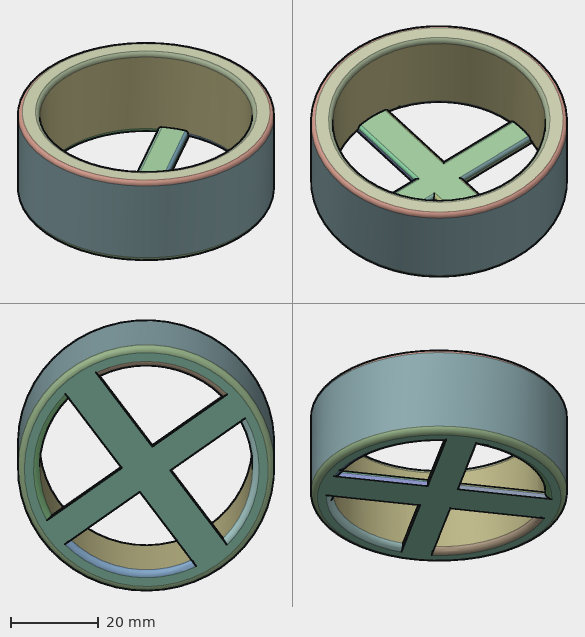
import cadquery as cq

outer_diameter = 58.5
inner_diameter = 48.5
height = 22.0
rim_fillet = 1.0
base_fillet = 1.45

x_bar_width = 8.65
y_bar_width = 7.0
bar_thickness = 2.0
bar_fillet = 0.75

outer_radius = outer_diameter / 2
inner_radius = inner_diameter / 2
wall = outer_radius - inner_radius
bar_length = inner_diameter + wall


def make_ring():
    """Plain ring about Z with all four rims rounded."""
    ring = cq.Workplane("XY").circle(outer_radius).circle(inner_radius).extrude(height)
    ring = ring.faces(">Z").edges().fillet(rim_fillet)
    return ring.faces("<Z").edges().fillet(base_fillet)


def make_cross():
    """Two crossed bars with rounded upper long edges, ending inside the ring wall."""
    def bar(length_x, length_y, long_direction):
        block = cq.Workplane("XY").box(length_x, length_y, bar_thickness, centered=(True, True, False))
        return block.edges(f"|{long_direction} and >Z").fillet(bar_fillet)

    x_bar = bar(bar_length, x_bar_width, "X")
    y_bar = bar(y_bar_width, bar_length, "Y")
    return x_bar.union(y_bar)


result = make_ring().union(make_cross())